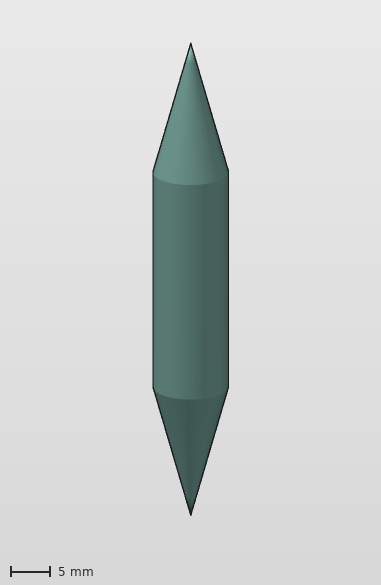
import cadquery as cq

total_length = 63.5
diameter = 9.5
tip_length = 17.35

radius = diameter / 2
half_length = total_length / 2
shoulder_height = half_length - tip_length

half_profile = (
    cq.Workplane("XZ")
    .moveTo(0, -half_length)
    .lineTo(radius, -shoulder_height)
    .lineTo(radius, shoulder_height)
    .lineTo(0, half_length)
    .close()
)

result = half_profile.revolve(360, (0, 0, 0), (0, 1, 0))